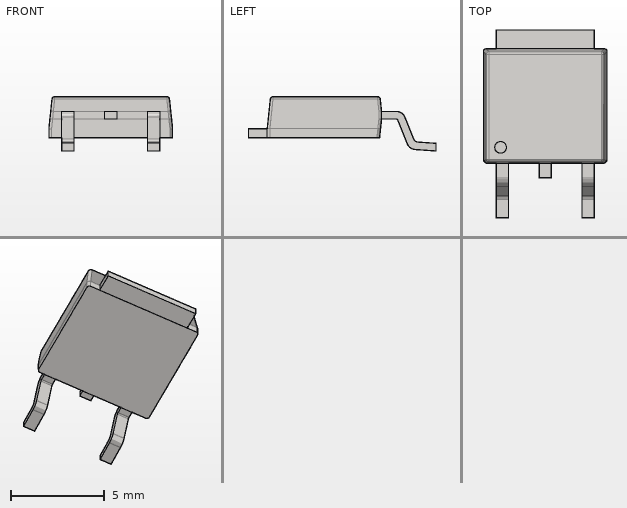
import cadquery as cq
import math

HOUSING_WIDTH = 6.6
HOUSING_LENGTH = 6.1
HOUSING_HEIGHT = 2.2
DRAFT_ANGLE = 6.0
EDGE_RADIUS = 0.15
REAR_Y = HOUSING_LENGTH / 2
FRONT_Y = -HOUSING_LENGTH / 2

TAB_WIDTH = 5.22
TAB_REACH = 1.0
TAB_THICKNESS = 0.5

LEAD_WIDTH = 0.66
LEAD_THICKNESS = 0.42
LEAD_BOTTOM_Z = 1.0
LEAD_TOP_Z = LEAD_BOTTOM_Z + LEAD_THICKNESS
LEAD_OFFSET_X = (TAB_WIDTH - LEAD_WIDTH) / 2
SHORT_LEAD_REACH = 0.78
LONG_LEAD_REACH = 2.9
BEND_REACH = 0.97
FOOT_BOTTOM_Z = -0.7
LEG_ANGLE = 68.0
FOOT_ANGLE = 4.0
KNEE_INNER_RADIUS = 0.08
ANKLE_INNER_RADIUS = 0.24
OUTER_BEND_RADIUS = KNEE_INNER_RADIUS + LEAD_THICKNESS

MARKER_DIAMETER = 0.62
MARKER_DEPTH = 0.05
MARKER_X = -2.38
MARKER_Y = -2.2


def draft_inset(height):
    """Sideways shift of a drafted face over the given height."""
    return height * math.tan(math.radians(DRAFT_ANGLE))


def make_marker():
    return (
        cq.Workplane("XY", origin=(MARKER_X, MARKER_Y, HOUSING_HEIGHT - MARKER_DEPTH))
        .circle(MARKER_DIAMETER / 2)
        .extrude(MARKER_DEPTH)
    )


def make_housing(marker):
    """Drafted block: upright around the tab and at the lead band, leaning in elsewhere."""
    half_width = HOUSING_WIDTH / 2
    upper_inset = draft_inset(HOUSING_HEIGHT - TAB_THICKNESS)
    side_profile = (
        cq.Workplane("YZ")
        .moveTo(REAR_Y, 0)
        .lineTo(REAR_Y, TAB_THICKNESS)
        .lineTo(REAR_Y - upper_inset, HOUSING_HEIGHT)
        .lineTo(FRONT_Y + draft_inset(HOUSING_HEIGHT - LEAD_TOP_Z), HOUSING_HEIGHT)
        .lineTo(FRONT_Y, LEAD_TOP_Z)
        .lineTo(FRONT_Y, LEAD_BOTTOM_Z)
        .lineTo(FRONT_Y + draft_inset(LEAD_BOTTOM_Z), 0)
        .close()
        .extrude(half_width, both=True)
    )
    end_profile = (
        cq.Workplane("XZ")
        .moveTo(-half_width, 0)
        .lineTo(-half_width, TAB_THICKNESS)
        .lineTo(-half_width + upper_inset, HOUSING_HEIGHT)
        .lineTo(half_width - upper_inset, HOUSING_HEIGHT)
        .lineTo(half_width, TAB_THICKNESS)
        .lineTo(half_width, 0)
        .close()
        .extrude(HOUSING_LENGTH, both=True)
    )
    block = side_profile.intersect(end_profile)
    corner_edges = block.edges("not(|X or |Y)")
    rounded = corner_edges.fillet(EDGE_RADIUS).faces(">Z").edges().fillet(EDGE_RADIUS)
    return rounded.cut(marker)


def make_tab():
    return cq.Workplane("XY", origin=(0, REAR_Y + TAB_REACH / 2, 0)).box(
        TAB_WIDTH, TAB_REACH, TAB_THICKNESS, centered=(True, True, False)
    )


def make_short_lead():
    return cq.Workplane("XY", origin=(0, FRONT_Y - SHORT_LEAD_REACH / 2, LEAD_BOTTOM_Z)).box(
        LEAD_WIDTH, SHORT_LEAD_REACH, LEAD_THICKNESS, centered=(True, True, False)
    )


def make_long_lead(center_x):
    """Gull-wing lead: a level shoulder, a steep leg and a slightly sloping foot."""
    half_thickness = LEAD_THICKNESS / 2
    leg = math.radians(LEG_ANGLE)
    foot = math.radians(FOOT_ANGLE)

    shoulder_z = LEAD_BOTTOM_Z + half_thickness
    toe_half_height = half_thickness / math.cos(foot)
    toe_z = FOOT_BOTTOM_Z + toe_half_height
    foot_z_at_bend = toe_z + (LONG_LEAD_REACH - BEND_REACH) * math.tan(foot)
    leg_run = (shoulder_z - foot_z_at_bend) / (math.tan(leg) - math.tan(foot))
    ankle_reach = BEND_REACH + leg_run
    ankle_z = shoulder_z - leg_run * math.tan(leg)

    knee_dy = half_thickness * math.tan(leg / 2)
    ankle_mitre = half_thickness / math.cos((leg - foot) / 2)
    ankle_dy = ankle_mitre * math.sin((leg + foot) / 2)
    ankle_dz = ankle_mitre * math.cos((leg + foot) / 2)

    knee_top = (FRONT_Y - BEND_REACH - knee_dy, LEAD_TOP_Z)
    knee_bottom = (FRONT_Y - BEND_REACH + knee_dy, LEAD_BOTTOM_Z)
    ankle_top = (FRONT_Y - ankle_reach - ankle_dy, ankle_z + ankle_dz)
    ankle_bottom = (FRONT_Y - ankle_reach + ankle_dy, ankle_z - ankle_dz)
    toe_y = FRONT_Y - LONG_LEAD_REACH
    outline = [
        (FRONT_Y, LEAD_TOP_Z),
        knee_top,
        ankle_top,
        (toe_y, toe_z + toe_half_height),
        (toe_y, FOOT_BOTTOM_Z),
        ankle_bottom,
        knee_bottom,
        (FRONT_Y, LEAD_BOTTOM_Z),
    ]
    lead = (
        cq.Workplane("YZ", origin=(center_x, 0, 0))
        .polyline(outline)
        .close()
        .extrude(LEAD_WIDTH / 2, both=True)
    )
    bends = [
        (knee_top, OUTER_BEND_RADIUS),
        (knee_bottom, KNEE_INNER_RADIUS),
        (ankle_top, ANKLE_INNER_RADIUS),
        (ankle_bottom, OUTER_BEND_RADIUS),
    ]
    for (y, z), radius in bends:
        corner = cq.selectors.NearestToPointSelector((center_x, y, z))
        lead = lead.edges("|X").edges(corner).fillet(radius)
    return lead


marker = make_marker()
housing = make_housing(marker)
tab = make_tab()
short_lead = make_short_lead()
long_leads = [make_long_lead(side * LEAD_OFFSET_X) for side in (-1, 1)]

result = cq.Compound.makeCompound(
    [
        housing.val(),
        tab.val(),
        marker.val(),
        short_lead.val(),
        *[lead.val() for lead in long_leads],
    ]
)